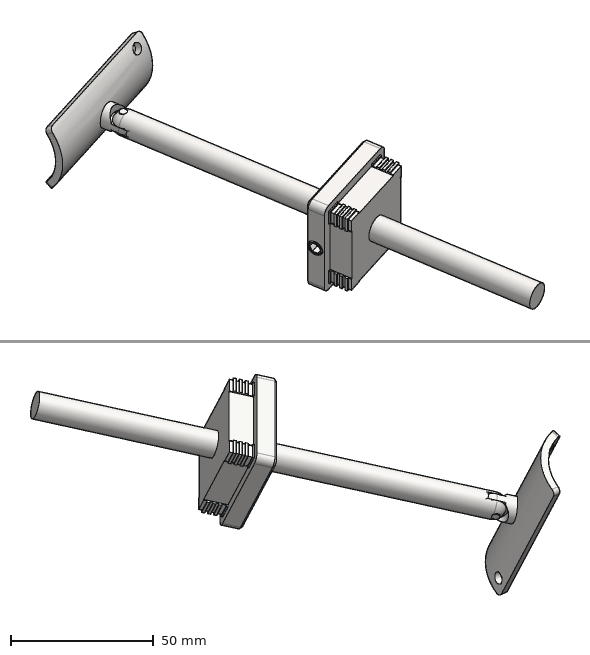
import cadquery as cq
import math

rod_radius = 5.0
rod_end = 184.5
joint_center = 15.1
tongue_thickness = 3.0
slot_radius = 5.9
socket_radius = 5.5

pin_x = 14.0
pin_radius = 1.5

cradle_width = 60.0
cradle_inner_radius = 20.0
cradle_thickness = 3.0
cradle_half_angle = 40.0
cradle_corner_radius = 1.8
cradle_hole_diameter = 4.5
cradle_hole_angle = 29.0
cradle_hole_y = 24.4
cradle_outer_radius = cradle_inner_radius + cradle_thickness
cradle_axis_x = -cradle_inner_radius * math.cos(math.radians(cradle_half_angle))

flange_start = 101.7
flange_size = 40.0
flange_thickness = 7.5
flange_corner_radius = 2.8
flange_chamfer = 1.0
plug_length = 9.0
plug_size = 33.2
plug_recess = 0.4
plain_width = 22.5
rib_thickness = 1.1
rib_height = 0.5
rib_pitch = 2.2
rib_count = 3
rib_first_offset = 2.2
collar_thickness = 0.5
flange_end = flange_start + flange_thickness

screw_diameter = 6.0
screw_chamfer = 0.5
socket_across_flats = 3.9
socket_depth = 3.0
screw_x = flange_start + flange_thickness / 2


def x_cylinder(radius, start, end):
    """Cylinder on the X axis."""
    return cq.Workplane("YZ", origin=(start, 0, 0)).circle(radius).extrude(end - start)


def z_cylinder(radius, x, bottom, top):
    """Upright cylinder centred on Y = 0."""
    return cq.Workplane("XY", origin=(x, 0, bottom)).circle(radius).extrude(top - bottom)


def joint_ball():
    """Sphere that rounds the ends of the rod and the knuckle."""
    return cq.Workplane("XY", origin=(joint_center, 0, 0)).sphere(rod_radius)


def cradle_cylinder(radius):
    """Cylinder on the axis of the cradle arc, as wide as the cradle."""
    arc_plane = cq.Workplane("XZ", origin=(cradle_axis_x, 0, 0))
    return arc_plane.circle(radius).extrude(cradle_width / 2, both=True)


def make_pin():
    return z_cylinder(pin_radius, pin_x, -rod_radius, rod_radius)


def make_rod():
    body = x_cylinder(rod_radius, joint_center, rod_end).union(joint_ball())
    half_slot = tongue_thickness / 2
    slot = z_cylinder(slot_radius, joint_center, -half_slot, half_slot)
    return body.cut(slot).cut(make_pin())


def make_knuckle():
    """Stub set in the cradle, with a tongue that fits the fork of the rod."""
    body = x_cylinder(rod_radius, 0, joint_center).union(joint_ball())
    body = body.cut(cradle_cylinder(cradle_inner_radius))
    half_tongue = tongue_thickness / 2
    for bottom, top in ((half_tongue, rod_radius), (-rod_radius, -half_tongue)):
        body = body.cut(z_cylinder(socket_radius, joint_center, bottom, top))
    return body.cut(make_pin())


def arc_point(radius, angle):
    """X and Z of a point on the cradle arc, measured from its axis."""
    return (radius * math.cos(math.radians(angle)), radius * math.sin(math.radians(angle)))


def make_cradle():
    plate = (
        cq.Workplane("XZ", origin=(cradle_axis_x, 0, 0))
        .moveTo(*arc_point(cradle_inner_radius, -cradle_half_angle))
        .threePointArc((cradle_inner_radius, 0), arc_point(cradle_inner_radius, cradle_half_angle))
        .lineTo(*arc_point(cradle_outer_radius, cradle_half_angle))
        .threePointArc((cradle_outer_radius, 0), arc_point(cradle_outer_radius, -cradle_half_angle))
        .close()
        .extrude(cradle_width / 2, both=True)
    )
    plate = plate.edges("#Y").edges("%LINE").fillet(cradle_corner_radius)
    for side in (1, -1):
        direction_x, direction_z = arc_point(1, side * cradle_hole_angle)
        hole = cq.Solid.makeCylinder(
            cradle_hole_diameter / 2,
            cradle_outer_radius * 2,
            cq.Vector(cradle_axis_x, side * cradle_hole_y, 0),
            cq.Vector(direction_x, 0, direction_z),
        )
        plate = plate.cut(cq.Workplane(hole))
    return plate.cut(x_cylinder(rod_radius, 0, joint_center))


def square_block(size, start, length):
    """Square block along X, centred on the X axis."""
    return cq.Workplane("YZ", origin=(start, 0, 0)).rect(size, size).extrude(length)


def side_recesses():
    """Blocks that thin the middle of each plug side, leaving the corners."""
    reach = plug_size / 2 + rib_height
    floor = plug_size / 2 - plug_recess
    recess = (
        cq.Workplane("YZ", origin=(flange_end, 0, 0))
        .center((floor + reach) / 2, 0)
        .rect(reach - floor, plain_width)
        .extrude(plug_length)
    )
    recesses = recess
    for turn in (90, 180, 270):
        recesses = recesses.union(recess.rotate((0, 0, 0), (1, 0, 0), turn))
    return recesses


def make_plug():
    """Square plug with thin ribs around its corners and plain, recessed side middles."""
    plug = square_block(plug_size, flange_end, plug_length)
    rib_size = plug_size + 2 * rib_height
    plug = plug.union(square_block(rib_size, flange_end, collar_thickness))
    for index in range(rib_count):
        rib_start = flange_end + rib_first_offset + index * rib_pitch
        plug = plug.union(square_block(rib_size, rib_start, rib_thickness))
    return plug.cut(side_recesses())


def screw_cylinder(inner_end):
    """Cylinder on the screw axis, from the given distance to the -Y side of the flange."""
    start = cq.Workplane("XZ", origin=(screw_x, -inner_end, 0))
    return start.circle(screw_diameter / 2).extrude(flange_size / 2 - inner_end)


def make_set_screw():
    """Set screw with a hexagon socket, its inner end against the rod."""
    screw = screw_cylinder(rod_radius).faces("<Y").chamfer(screw_chamfer)
    across_corners = socket_across_flats / math.cos(math.radians(30))
    socket = (
        cq.Workplane("XZ", origin=(screw_x, -flange_size / 2, 0))
        .polygon(6, across_corners)
        .extrude(-socket_depth)
    )
    return screw.cut(socket)


def make_cap():
    flange = square_block(flange_size, flange_start, flange_thickness)
    flange = flange.edges("|X").fillet(flange_corner_radius).faces("<X").chamfer(flange_chamfer)
    cap = flange.union(make_plug())
    cap = cap.cut(x_cylinder(rod_radius, flange_start, flange_end + plug_length))
    return cap.cut(screw_cylinder(0))


cradle = make_cradle()
knuckle = make_knuckle()
pin = make_pin()
rod = make_rod()
cap = make_cap()
set_screw = make_set_screw()

result = cq.Compound.makeCompound(
    [cradle.val(), knuckle.val(), pin.val(), rod.val(), cap.val(), set_screw.val()]
)